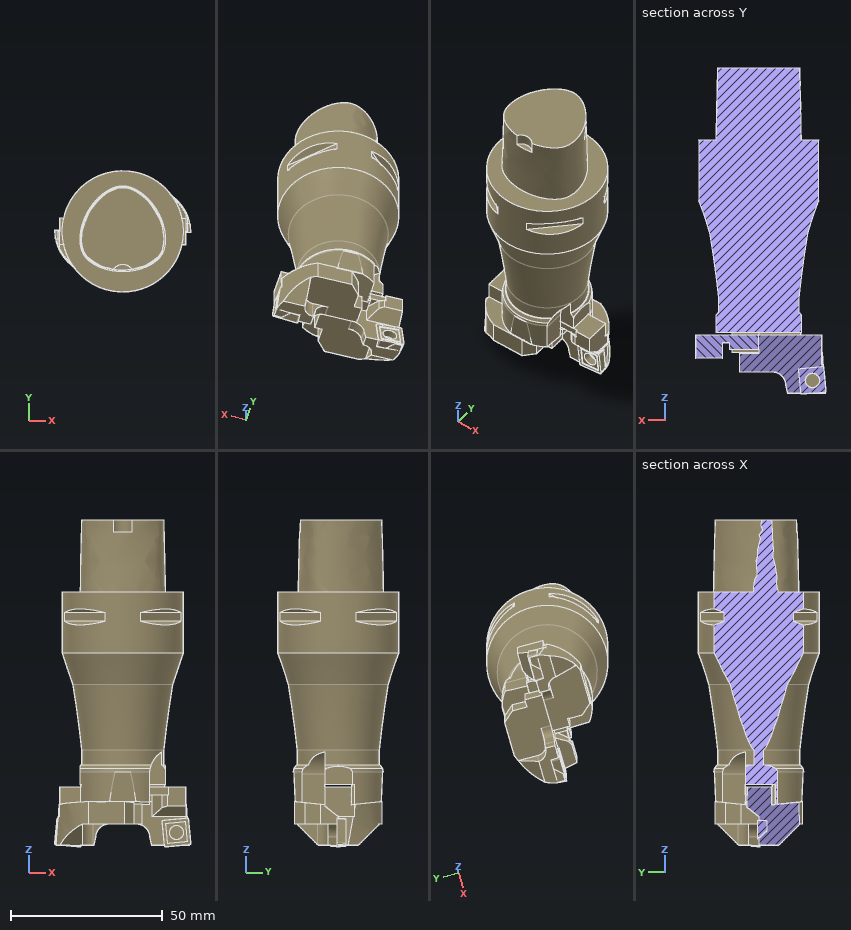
import cadquery as cq
import math

CUTTER_ANGLES = (0, 180)
OVERSIZE = 64.7

FLANGE_DIA = 40.0
CUTTING_DIA = 45.0
SIN_45 = math.sqrt(0.5)

TOP_Z = 107.8
FLANGE_TOP_Z = 84.1
FLANGE_BOTTOM_Z = 64.0
CONE_BOTTOM_Z = 53.5
NECK_TOP_Z = 31.9
NECK_BOTTOM_Z = 27.1
COLLAR_TOP_Z = 25.9
FLAT_TOP_Z = 24.8
SEAT_OUTER_Z = 15.0
SEAT_INNER_Z = 13.5
LEG_TOP_Z = 7.5
LEG_BOTTOM_Z = 0.5

FLANGE_R = FLANGE_DIA / 2
CONE_BOTTOM_R = 16.5
WAIST_R = 14.9
NECK_R = 13.6
COLLAR_R = 14.9
COLLAR_TOP_R = 14.7
SHOULDER_R = 13.8

SHANK_BASE_R = 14.1
SHANK_TOP_R = 13.6
LOBE_HEIGHT = 0.9
NOTCH_R = 3.7
NOTCH_APEX_Y = -10.9
NOTCH_DEPTH = 4.1

GROOVE_ANGLES = (45, 135, 225, 315)
GROOVE_Z = 75.8
GROOVE_FLOOR_DIST = 17.7
GROOVE_FLOOR_HEIGHT = 2.8
GROOVE_MOUTH_HEIGHT = 5.3

POCKET_FLOOR_X = 8.8
POCKET_RUNOUT_R = 8.6
POCKET_RUNOUT_Z = 24.0
SLOT_FRONT_Y = -4.4
SLOT_REAR_Y = 5.4
SLOT_TOP_Z = 20.6
COLLAR_SIDE_FLAT_X = 14.1
FLAT_TOP_Y = 14.7
FLAT_BOTTOM_Y = 14.2

SLAB_SIDE_Y = 14.5
SLAB_TOP_END_X = 20.9
SLAB_BOTTOM_END_X = 22.0
SLAB_END_X = -3.8
SLAB_INNER_END_X = -6.4
SLAB_STEP_Y = 5.9
SLAB_CORNER_X = -0.5
SLAB_CORNER_Y = 10.9
ARC_END_X = 11.2
SLAB_TOP_ARC_Y = 5.8
SLAB_TOP_ARC_MID = (17.5, 10.4)
SLAB_BOTTOM_ARC_Y = 3.2
SLAB_BOTTOM_ARC_MID = (18.3, 10.0)
LEG_STEP_X = 13.3
LEG_WEB_Y = 3.3
LEG_FILLET_R = 3.5
LEG_BEVEL_Y = 13.6
ARCH_FOOT_X = 9.6
ARCH_SPRING_X = 8.8
ARCH_R = 4.3

KEY_END_X = 20.8
KEY_REAR_Y = 4.3
KEY_TOP_Z = 19.8
KEY_RECESS_X = 15.1
KEY_RECESS_DEPTH = 0.6
GULLET_FRONT_Z = 13.5
GULLET_BACK_Z = 10.0
GULLET_TOP_Z = 17.1
GULLET_WALL_FRONT_X = 12.9
GULLET_MOUTH_X = 14.7
GULLET_WALL_BACK_X = 9.7

INSERT_SIDE = 8.8
INSERT_TILT = 5.5
INSERT_CORNER_R = 0.5
INSERT_FACE_Y = -0.4
INSERT_THICKNESS = 3.0
INSERT_TAPER = 5.0
INSERT_TIP_X = CUTTING_DIA / 2
INSERT_HOLE_DIA = 4.6
INSERT_RECESS_SIDE = 6.6
INSERT_RECESS_DEPTH = 0.3


def box(x0, x1, y0, y1, z0, z1):
    return cq.Workplane("XY").box(x1 - x0, y1 - y0, z1 - z0, centered=False).translate((x0, y0, z0))


def turned(shape, angle):
    return shape.rotate((0, 0, 0), (0, 0, 1), angle)


def lobed_point(angle, mean_radius):
    """Point on the equal-width three-lobed outline, one lobe pointing to +Y."""
    phase = 3 * (angle - math.pi / 2)
    reach = mean_radius + LOBE_HEIGHT * math.cos(phase)
    slope = -3 * LOBE_HEIGHT * math.sin(phase)
    x = reach * math.cos(angle) - slope * math.sin(angle)
    y = reach * math.sin(angle) + slope * math.cos(angle)
    return x, y


def lobed_points(mean_radius, count=36):
    return [lobed_point(2 * math.pi * i / count, mean_radius) for i in range(count)]


def make_seat_wedge(far_z):
    """Space on the +Y side between the tilted joint plane and the level far_z."""
    rise = (SEAT_OUTER_Z - SEAT_INNER_Z) / SLAB_SIDE_Y
    return (
        cq.Workplane("YZ")
        .polyline([
            (0, SEAT_INNER_Z),
            (OVERSIZE, SEAT_INNER_Z + rise * OVERSIZE),
            (OVERSIZE, far_z),
            (0, far_z),
        ])
        .close()
        .extrude(OVERSIZE, both=True)
    )


def make_shank():
    shank = (
        cq.Workplane("XY", origin=(0, 0, FLANGE_TOP_Z))
        .spline(lobed_points(SHANK_BASE_R), periodic=True).close()
        .workplane(offset=TOP_Z - FLANGE_TOP_Z)
        .spline(lobed_points(SHANK_TOP_R), periodic=True).close()
        .loft(ruled=True)
    )
    notch = (
        cq.Workplane("XY", origin=(0, NOTCH_APEX_Y - NOTCH_R, TOP_Z - NOTCH_DEPTH))
        .circle(NOTCH_R).extrude(NOTCH_DEPTH)
    )
    return shank.cut(notch)


def make_turned_body():
    return (
        cq.Workplane("XZ")
        .moveTo(0, SEAT_INNER_Z)
        .lineTo(COLLAR_R, SEAT_INNER_Z)
        .lineTo(COLLAR_R, FLAT_TOP_Z)
        .lineTo(COLLAR_TOP_R, COLLAR_TOP_Z)
        .lineTo(SHOULDER_R, NECK_BOTTOM_Z)
        .lineTo(NECK_R, NECK_BOTTOM_Z)
        .lineTo(NECK_R, NECK_TOP_Z)
        .threePointArc((WAIST_R, (NECK_TOP_Z + CONE_BOTTOM_Z) / 2), (CONE_BOTTOM_R, CONE_BOTTOM_Z))
        .lineTo(FLANGE_R, FLANGE_BOTTOM_Z)
        .lineTo(FLANGE_R, FLANGE_TOP_Z)
        .lineTo(0, FLANGE_TOP_Z)
        .close()
        .revolve(360, (0, 0, 0), (0, 1, 0))
    )


def make_gripper_groove():
    """Trapezoidal groove along Y that opens towards +X."""
    flank_slope = (GROOVE_MOUTH_HEIGHT - GROOVE_FLOOR_HEIGHT) / 2 / (FLANGE_R - GROOVE_FLOOR_DIST)
    depth = FLANGE_R - GROOVE_FLOOR_DIST + 1.1
    floor_half = GROOVE_FLOOR_HEIGHT / 2
    mouth_half = floor_half + flank_slope * depth
    return (
        cq.Workplane("XZ", origin=(GROOVE_FLOOR_DIST, 0, GROOVE_Z))
        .polyline([(0, -floor_half), (depth, -mouth_half), (depth, mouth_half), (0, floor_half)])
        .close()
        .extrude(FLANGE_R, both=True)
    )


def make_chip_pocket():
    """Pocket in front of the insert, with its floor curving out at the top."""
    center_x = POCKET_FLOOR_X + POCKET_RUNOUT_R
    diagonal = POCKET_RUNOUT_R * SIN_45
    arc_mid = (center_x - diagonal, POCKET_RUNOUT_Z + diagonal)
    return (
        cq.Workplane("XZ", origin=(0, SLOT_FRONT_Y, 0))
        .moveTo(POCKET_FLOOR_X, 0)
        .lineTo(POCKET_FLOOR_X, POCKET_RUNOUT_Z)
        .threePointArc(arc_mid, (center_x, POCKET_RUNOUT_Z + POCKET_RUNOUT_R))
        .lineTo(center_x, 0)
        .close()
        .extrude(OVERSIZE)
    )


def make_collar_flat():
    """Slightly tilted flat on the -Y side of the collar."""
    outside = COLLAR_R + 1.1
    return (
        cq.Workplane("YZ")
        .polyline([
            (-FLAT_BOTTOM_Y, SEAT_OUTER_Z),
            (-FLAT_TOP_Y, FLAT_TOP_Z),
            (-outside, FLAT_TOP_Z),
            (-outside, SEAT_OUTER_Z),
        ])
        .close()
        .extrude(SLOT_REAR_Y, both=True)
    )


def make_holder():
    holder = make_turned_body().union(make_shank())
    for angle in GROOVE_ANGLES:
        holder = holder.cut(turned(make_gripper_groove(), angle))
    key_slot = box(0, OVERSIZE, SLOT_FRONT_Y, SLOT_REAR_Y, 0, SLOT_TOP_Z)
    side_flat = box(COLLAR_SIDE_FLAT_X, OVERSIZE, -OVERSIZE, OVERSIZE, 0, NECK_BOTTOM_Z)
    for angle in CUTTER_ANGLES:
        for cutter in (make_seat_wedge(0), key_slot, side_flat, make_chip_pocket(), make_collar_flat()):
            holder = holder.cut(turned(cutter, angle))
    return holder


def slab_outline(plane, end_x, arc_start_y, arc_mid):
    return (
        plane.moveTo(SLAB_INNER_END_X, 0)
        .lineTo(end_x, 0)
        .lineTo(end_x, arc_start_y)
        .threePointArc(arc_mid, (ARC_END_X, SLAB_SIDE_Y))
        .lineTo(SLAB_CORNER_X, SLAB_SIDE_Y)
        .lineTo(SLAB_END_X, SLAB_CORNER_Y)
        .lineTo(SLAB_END_X, SLAB_STEP_Y)
        .lineTo(SLAB_INNER_END_X, SLAB_STEP_Y)
        .close()
    )


def make_slab():
    """Block below the collar whose rounded outer side flares out towards the bottom."""
    plane = cq.Workplane("XY", origin=(0, 0, LEG_BOTTOM_Z))
    lower = slab_outline(plane, SLAB_BOTTOM_END_X, SLAB_BOTTOM_ARC_Y, SLAB_BOTTOM_ARC_MID)
    upper = lower.workplane(offset=SEAT_OUTER_Z - LEG_BOTTOM_Z)
    return slab_outline(upper, SLAB_TOP_END_X, SLAB_TOP_ARC_Y, SLAB_TOP_ARC_MID).loft(ruled=True)


def make_leg_clearance():
    """Space beside the leg, ending in a concave corner against the thin web."""
    return (
        box(-OVERSIZE, LEG_STEP_X, LEG_WEB_Y, OVERSIZE, 0, LEG_TOP_Z)
        .edges("|Z and >X and <Y").fillet(LEG_FILLET_R)
    )


def make_arch():
    """Arched space between the two legs."""
    spring_z = LEG_TOP_Z - ARCH_R
    diagonal = ARCH_R * SIN_45
    crown_x = ARCH_SPRING_X - ARCH_R
    return (
        cq.Workplane("XZ")
        .moveTo(ARCH_FOOT_X, 0)
        .lineTo(ARCH_SPRING_X, spring_z)
        .threePointArc((crown_x + diagonal, spring_z + diagonal), (crown_x, LEG_TOP_Z))
        .lineTo(-OVERSIZE, LEG_TOP_Z)
        .lineTo(-OVERSIZE, 0)
        .close()
        .extrude(OVERSIZE, both=True)
    )


def make_leg_bevel():
    """45 degree bevel on the outer side of the leg."""
    return (
        cq.Workplane("YZ")
        .polyline([
            (LEG_BEVEL_Y, LEG_TOP_Z),
            (LEG_BEVEL_Y - LEG_TOP_Z, 0),
            (OVERSIZE, 0),
            (OVERSIZE, LEG_TOP_Z),
        ])
        .close()
        .extrude(OVERSIZE)
    )


def make_key():
    """Key that fills the collar slot, with a nose over the insert cut back by a gullet."""
    recess_y = SLOT_FRONT_Y + KEY_RECESS_DEPTH
    rear = box(0, KEY_END_X, 0, KEY_REAR_Y, GULLET_FRONT_Z, KEY_TOP_Z)
    front = box(0, KEY_END_X, SLOT_FRONT_Y, 0, SEAT_OUTER_Z, KEY_TOP_Z)
    nose = (
        cq.Workplane("YZ", origin=(GULLET_WALL_BACK_X, 0, 0))
        .polyline([
            (0, SEAT_OUTER_Z),
            (0, GULLET_BACK_Z),
            (SLOT_FRONT_Y, GULLET_FRONT_Z),
            (SLOT_FRONT_Y, SEAT_OUTER_Z),
        ])
        .close()
        .extrude(KEY_END_X - GULLET_WALL_BACK_X)
    )
    gullet_corner = (
        cq.Workplane("XY")
        .polyline([
            (GULLET_WALL_BACK_X, 0),
            (GULLET_WALL_FRONT_X, recess_y),
            (GULLET_MOUTH_X, SLOT_FRONT_Y),
            (GULLET_WALL_BACK_X, SLOT_FRONT_Y),
        ])
        .close()
        .extrude(GULLET_TOP_Z)
    )
    recess = box(0, KEY_RECESS_X, SLOT_FRONT_Y, recess_y, GULLET_TOP_Z, KEY_TOP_Z)
    return rear.union(front).union(nose).cut(gullet_corner).cut(recess)


def make_insert_blank():
    """Tilted square plate that narrows towards its seat, and the plane of its front face."""
    tilt = math.radians(INSERT_TILT)
    corner_offset = INSERT_SIDE / 2 - INSERT_CORNER_R
    half_extent = corner_offset * (math.cos(tilt) + math.sin(tilt)) + INSERT_CORNER_R
    center = (INSERT_TIP_X - half_extent, INSERT_FACE_Y, half_extent)
    plane = cq.Plane(
        origin=center,
        xDir=(math.cos(tilt), 0, math.sin(tilt)),
        normal=(0, 1, 0),
    )
    outline = cq.Sketch().rect(INSERT_SIDE, INSERT_SIDE).vertices().fillet(INSERT_CORNER_R)
    blank = cq.Workplane(plane).placeSketch(outline).extrude(INSERT_THICKNESS, taper=INSERT_TAPER)
    return blank, plane


def make_insert():
    blank, plane = make_insert_blank()
    recess = cq.Workplane(plane).rect(INSERT_RECESS_SIDE, INSERT_RECESS_SIDE).extrude(INSERT_RECESS_DEPTH)
    hole = cq.Workplane(plane).circle(INSERT_HOLE_DIA / 2).extrude(INSERT_THICKNESS)
    return blank.cut(recess).cut(hole)


def make_cartridge():
    cartridge = make_slab()
    end_flat = box(KEY_END_X, OVERSIZE, 0, SLOT_REAR_Y, GULLET_BACK_Z, OVERSIZE)
    top_wedge = make_seat_wedge(OVERSIZE)
    for cutter in (top_wedge, end_flat, make_leg_clearance(), make_arch(), make_leg_bevel()):
        cartridge = cartridge.cut(cutter)
    seat, _ = make_insert_blank()
    return cartridge.union(make_key()).cut(seat)


holder = make_holder()
cartridges = [turned(make_cartridge(), angle) for angle in CUTTER_ANGLES]
inserts = [turned(make_insert(), angle) for angle in CUTTER_ANGLES]

bodies = [holder, *cartridges, *inserts]

result = cq.Compound.makeCompound([body.solids().val() for body in bodies])